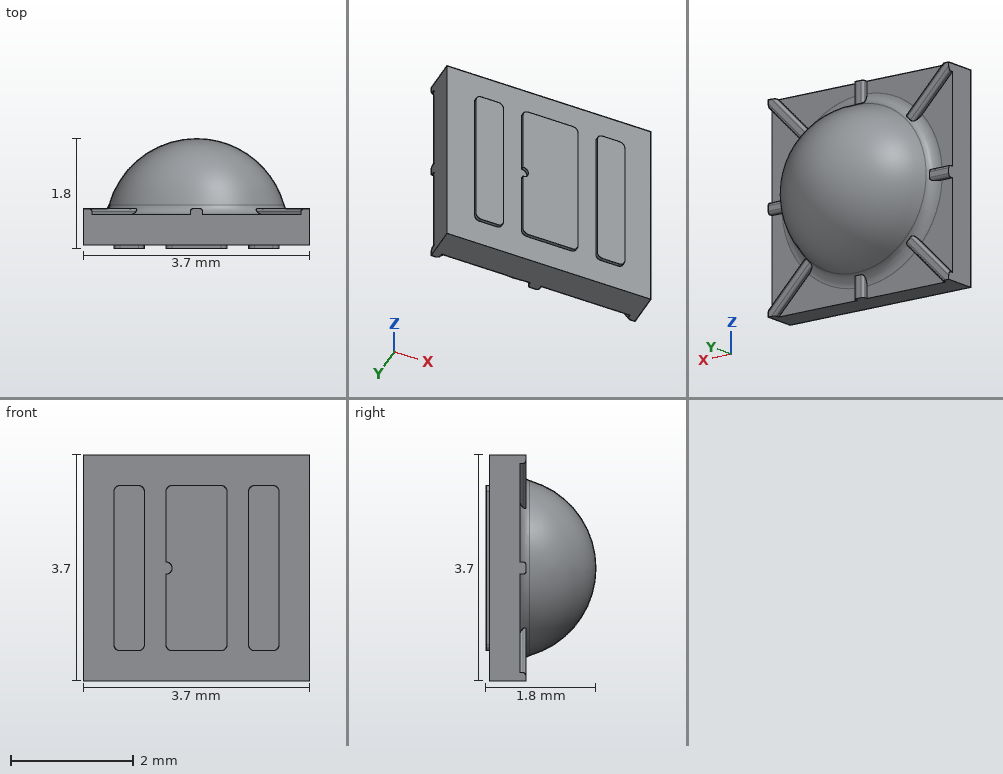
import cadquery as cq
import math

side = 3.7
overall_depth = 1.8
pad_thickness = 0.055
floor_y = 0.5
rib_height = 0.1
apex_y = overall_depth - pad_thickness

pad_length = 2.7
side_pad_width = 0.5
center_pad_width = 1.0
pad_edge_margin = 0.5
pad_corner_radius = 0.1
notch_radius = 0.1

rib_width = 0.2
rib_round = 0.05
rib_count = 8

dome_radius = 1.487
flare_radius = 0.22


def make_pad(center_x, width):
    return (
        cq.Workplane("XZ")
        .center(center_x, 0)
        .rect(width, pad_length)
        .extrude(pad_thickness)
        .edges("|Y")
        .fillet(pad_corner_radius)
    )


def make_pads():
    side_pad_x = side / 2 - pad_edge_margin - side_pad_width / 2
    notch = (
        cq.Workplane("XZ")
        .center(-center_pad_width / 2, 0)
        .circle(notch_radius)
        .extrude(pad_thickness)
    )
    pads = make_pad(0, center_pad_width).cut(notch)
    for direction in (-1, 1):
        pads = pads.union(make_pad(direction * side_pad_x, side_pad_width))
    return pads


def make_block(depth):
    return cq.Workplane("XZ").rect(side, side).extrude(-depth)


def make_ribs():
    bar_length = side
    bar_depth = floor_y + rib_height
    bar = (
        cq.Workplane("XY")
        .box(bar_length, bar_depth, rib_width, centered=(False, False, True))
        .edges("|X and >Y")
        .fillet(rib_round)
    )
    ribs = make_block(floor_y)
    for index in range(rib_count):
        ribs = ribs.union(bar.rotate((0, 0, 0), (0, 1, 0), index * 360 / rib_count))
    return ribs.intersect(make_block(bar_depth))


def make_dome():
    sphere_y = apex_y - dome_radius
    flare_y = floor_y + flare_radius
    rise = flare_y - sphere_y
    center_distance = dome_radius + flare_radius
    flare_x = math.sqrt(center_distance**2 - rise**2)
    contact_angle = math.asin(rise / center_distance)
    contact = (
        dome_radius * math.cos(contact_angle),
        sphere_y + dome_radius * math.sin(contact_angle),
    )
    dome_mid_angle = (contact_angle + math.pi / 2) / 2
    dome_mid = (
        dome_radius * math.cos(dome_mid_angle),
        sphere_y + dome_radius * math.sin(dome_mid_angle),
    )
    flare_mid_angle = (contact_angle + math.pi + 1.5 * math.pi) / 2
    flare_mid = (
        flare_x + flare_radius * math.cos(flare_mid_angle),
        flare_y + flare_radius * math.sin(flare_mid_angle),
    )
    return (
        cq.Workplane("XY")
        .moveTo(0, 0)
        .lineTo(0, apex_y)
        .threePointArc(dome_mid, contact)
        .threePointArc(flare_mid, (flare_x, floor_y))
        .lineTo(flare_x, 0)
        .close()
        .revolve(360, (0, 0, 0), (0, 1, 0))
    )


result = make_ribs().union(make_dome()).union(make_pads())